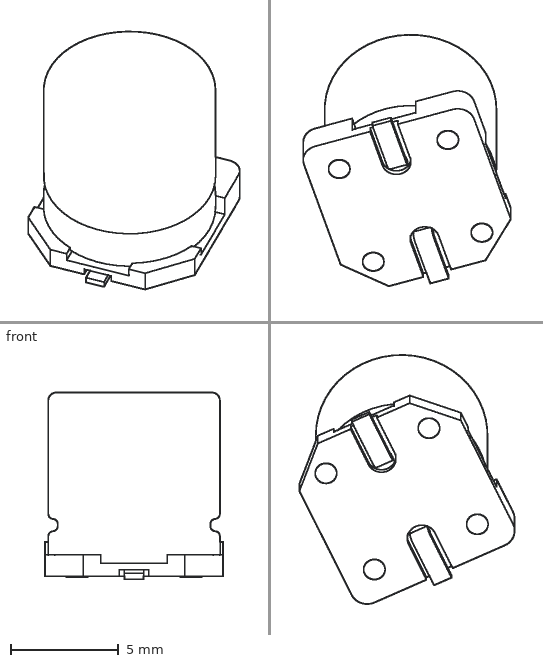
import cadquery as cq
import math

OVERALL_HEIGHT = 8.7
LEAD_SPAN = 9.0

BASE_WIDTH = 8.3
BASE_BOTTOM = 0.14
BASE_THICKNESS = 1.0
BASE_TOP = BASE_BOTTOM + BASE_THICKNESS
BACK_WALL_HEIGHT = 1.6
BACK_WALL_TOP = BASE_BOTTOM + BACK_WALL_HEIGHT
FRONT_CHAMFER = 1.79
BACK_CORNER_RADIUS = 0.8
NOTCH_WIDTH = 3.1
FLOOR_Z = 0.75

FOOT_DIAMETER = 1.0
FOOT_HEIGHT = 0.04
FOOT_OFFSET = 2.65

LEAD_WIDTH = 0.9
LEAD_THICKNESS = 0.3
LEAD_INNER_BEND = 0.07
LEAD_OUTER_BEND = LEAD_INNER_BEND + LEAD_THICKNESS
LEG_INNER_Y = 1.845
SLOT_WIDTH = 1.35
SLOT_TOP = 0.46
SLOT_END_Y = 1.53

CAN_DIAMETER = 8.0
CAN_RADIUS = CAN_DIAMETER / 2
NECK_DIAMETER = 7.12
GROOVE_DEPTH = (CAN_DIAMETER - NECK_DIAMETER) / 2
CAN_EDGE_RADIUS = 0.4
GROOVE_LIP_RADIUS = 0.25
GROOVE_HEIGHT = 1.06
NECK_HEIGHT = 0.11
GROOVE_CENTER_Z = 2.53

GROOVE_SIDE_HEIGHT = (GROOVE_HEIGHT - NECK_HEIGHT) / 2
GROOVE_SIDE_ANGLE = 2 * math.atan(GROOVE_DEPTH / GROOVE_SIDE_HEIGHT)
GROOVE_ROOT_RADIUS = GROOVE_SIDE_HEIGHT / math.sin(GROOVE_SIDE_ANGLE) - GROOVE_LIP_RADIUS

RIGHT_ANGLE = math.pi / 2


def arc_point(center, radius, angle):
    """Point on a circle, with the angle in radians from the first axis."""
    return (center[0] + radius * math.cos(angle), center[1] + radius * math.sin(angle))


def make_can():
    """Round can with rounded rims and a rolled groove near its foot."""
    edge_r = CAN_RADIUS - CAN_EDGE_RADIUS
    bottom_edge = (edge_r, FLOOR_Z + CAN_EDGE_RADIUS)
    top_edge = (edge_r, OVERALL_HEIGHT - CAN_EDGE_RADIUS)

    groove_bottom = GROOVE_CENTER_Z - GROOVE_HEIGHT / 2
    groove_top = GROOVE_CENTER_Z + GROOVE_HEIGHT / 2
    neck_bottom = GROOVE_CENTER_Z - NECK_HEIGHT / 2
    neck_top = GROOVE_CENTER_Z + NECK_HEIGHT / 2
    neck_r = NECK_DIAMETER / 2
    lower_lip = (CAN_RADIUS - GROOVE_LIP_RADIUS, groove_bottom)
    upper_lip = (CAN_RADIUS - GROOVE_LIP_RADIUS, groove_top)
    lower_root = (neck_r + GROOVE_ROOT_RADIUS, neck_bottom)
    upper_root = (neck_r + GROOVE_ROOT_RADIUS, neck_top)
    turn = GROOVE_SIDE_ANGLE
    half_turn = turn / 2

    profile = (
        cq.Workplane("XZ")
        .moveTo(0, FLOOR_Z)
        .lineTo(edge_r, FLOOR_Z)
        .threePointArc(
            arc_point(bottom_edge, CAN_EDGE_RADIUS, -RIGHT_ANGLE / 2),
            arc_point(bottom_edge, CAN_EDGE_RADIUS, 0),
        )
        .lineTo(CAN_RADIUS, groove_bottom)
        .threePointArc(
            arc_point(lower_lip, GROOVE_LIP_RADIUS, half_turn),
            arc_point(lower_lip, GROOVE_LIP_RADIUS, turn),
        )
        .threePointArc(arc_point(lower_root, GROOVE_ROOT_RADIUS, math.pi + half_turn), (neck_r, neck_bottom))
        .lineTo(neck_r, neck_top)
        .threePointArc(
            arc_point(upper_root, GROOVE_ROOT_RADIUS, math.pi - half_turn),
            arc_point(upper_root, GROOVE_ROOT_RADIUS, math.pi - turn),
        )
        .threePointArc(arc_point(upper_lip, GROOVE_LIP_RADIUS, -half_turn), (CAN_RADIUS, groove_top))
        .lineTo(CAN_RADIUS, top_edge[1])
        .threePointArc(
            arc_point(top_edge, CAN_EDGE_RADIUS, RIGHT_ANGLE / 2),
            arc_point(top_edge, CAN_EDGE_RADIUS, RIGHT_ANGLE),
        )
        .lineTo(0, OVERALL_HEIGHT)
        .close()
    )
    return profile.revolve(360, (0, 0, 0), (0, 1, 0))


def make_base_block():
    """Base plate with chamfered front corners and taller rounded back corners."""
    block = (
        cq.Workplane("XY", origin=(0, 0, BASE_BOTTOM))
        .rect(BASE_WIDTH, BASE_WIDTH)
        .extrude(BACK_WALL_HEIGHT)
    )
    block = block.edges("|Z and <Y").chamfer(FRONT_CHAMFER)
    block = block.edges("|Z and >Y").fillet(BACK_CORNER_RADIUS)

    lowered_depth = (BASE_WIDTH + NOTCH_WIDTH) / 2
    above_front = (
        cq.Workplane("XY", origin=(0, NOTCH_WIDTH / 2 - lowered_depth / 2, BASE_TOP))
        .rect(BASE_WIDTH, lowered_depth)
        .extrude(BACK_WALL_TOP - BASE_TOP)
    )
    return block.cut(above_front)


def make_notches():
    """Crossing channels that open the middle of all four sides down to the can floor."""
    channel = cq.Workplane("XY", origin=(0, 0, FLOOR_Z))
    along_x = channel.rect(BASE_WIDTH, NOTCH_WIDTH).extrude(BACK_WALL_HEIGHT)
    along_y = channel.rect(NOTCH_WIDTH, BASE_WIDTH).extrude(BACK_WALL_HEIGHT)
    return along_x.union(along_y)


def make_feet():
    """Four thin round pads under the base."""
    return (
        cq.Workplane("XY", origin=(0, 0, BASE_BOTTOM))
        .rect(2 * FOOT_OFFSET, 2 * FOOT_OFFSET, forConstruction=True)
        .vertices()
        .circle(FOOT_DIAMETER / 2)
        .extrude(-FOOT_HEIGHT)
    )


def make_lead_slot():
    """Slot under the -Y side, with a full round inner end."""
    round_y = -SLOT_END_Y - SLOT_WIDTH / 2
    slot = cq.Workplane("XY", origin=(0, 0, BASE_BOTTOM))
    depth = SLOT_TOP - BASE_BOTTOM
    straight = slot.center(0, round_y - BASE_WIDTH / 4).rect(SLOT_WIDTH, BASE_WIDTH / 2).extrude(depth)
    return straight.union(slot.center(0, round_y).circle(SLOT_WIDTH / 2).extrude(depth))


def make_lead():
    """Flat lead on the -Y side that bends up into the roof of its slot."""
    tip_y = -LEAD_SPAN / 2
    inner_y = -LEG_INNER_Y
    outer_y = inner_y - LEAD_THICKNESS
    bend_center = (inner_y - LEAD_OUTER_BEND, LEAD_OUTER_BEND)
    bend_y, bend_z = bend_center
    return (
        cq.Workplane("YZ")
        .moveTo(tip_y, 0)
        .lineTo(bend_y, 0)
        .threePointArc(arc_point(bend_center, LEAD_OUTER_BEND, -RIGHT_ANGLE / 2), (inner_y, bend_z))
        .lineTo(inner_y, SLOT_TOP)
        .lineTo(outer_y, SLOT_TOP)
        .lineTo(outer_y, bend_z)
        .threePointArc(arc_point(bend_center, LEAD_INNER_BEND, -RIGHT_ANGLE / 2), (bend_y, LEAD_THICKNESS))
        .lineTo(tip_y, LEAD_THICKNESS)
        .close()
        .extrude(LEAD_WIDTH / 2, both=True)
    )


def make_base(can):
    """Base with its feet and both leads, recessed to seat the can."""
    base = make_base_block().cut(make_notches()).cut(can).union(make_feet())
    for turn in (0, 180):
        slot = make_lead_slot().rotate((0, 0, 0), (0, 0, 1), turn)
        lead = make_lead().rotate((0, 0, 0), (0, 0, 1), turn)
        base = base.cut(slot).union(lead)
    return base


can = make_can()
base = make_base(can)
result = cq.Compound.makeCompound([base.solids().val(), can.solids().val()])